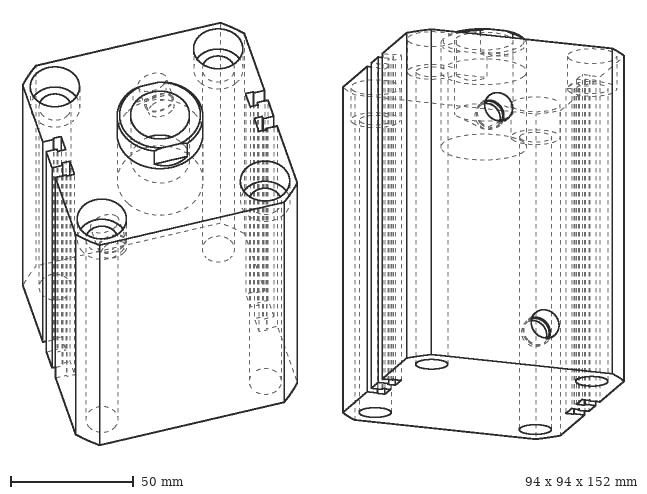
import cadquery as cq
import math

TOTAL_HEIGHT = 152.0
HOUSING_WIDTH = 94.0
ROD_PROJECTION = 13.0
HOUSING_HEIGHT = TOTAL_HEIGHT - ROD_PROJECTION
CORNER_TURNING_RADIUS = 61.1

MOUNT_SPACING = 69.2
MOUNT_HOLE_DIAMETER = 13.0
COUNTERBORE_DIAMETER = 20.0
COUNTERBORE_DEPTH = 14.0

SLOT_NECK_INNER = 4.3
SLOT_NECK_OUTER = 9.3
SLOT_HEAD_INNER = 3.0
SLOT_HEAD_OUTER = 9.9
SLOT_NECK_DEPTH = 4.5
SLOT_DEPTH = 7.9

PORT_ENTRY_DIAMETER = 12.0
PORT_ENTRY_DEPTH = 10.6
PORT_BORE_DIAMETER = 11.0
PORT_BORE_DEPTH = 13.7
PORT_OFFSET = 10.0
LOWER_PORT_HEIGHT = 18.2
UPPER_PORT_HEIGHT = HOUSING_HEIGHT - 30.1

ROD_DIAMETER = 35.0
ROD_CHAMFER = 1.0
FLATS_WIDTH = 32.0
FLATS_HEIGHT = 10.0
ROD_BORE_DIAMETER = 24.0
ROD_BORE_DEPTH = 30.4
DRILL_POINT_ANGLE = 118.0
ROD_END_THICKNESS = 7.6

DRILL_POINT_HEIGHT = ROD_BORE_DIAMETER / 2 / math.tan(math.radians(DRILL_POINT_ANGLE / 2))
ROD_LENGTH = ROD_BORE_DEPTH + DRILL_POINT_HEIGHT + ROD_END_THICKNESS
ROD_BOTTOM = TOTAL_HEIGHT - ROD_LENGTH


def make_block():
    """Square block whose corners are turned to a large radius."""
    square = cq.Workplane("XY").rect(HOUSING_WIDTH, HOUSING_WIDTH).extrude(HOUSING_HEIGHT)
    turned = cq.Workplane("XY").circle(CORNER_TURNING_RADIUS).extrude(HOUSING_HEIGHT)
    return square.intersect(turned)


def cut_mounting_holes(block):
    """Counterbored through holes in the four corners."""
    return (
        block.faces(">Z").workplane(origin=(0, 0, HOUSING_HEIGHT))
        .rect(MOUNT_SPACING, MOUNT_SPACING, forConstruction=True).vertices()
        .cboreHole(MOUNT_HOLE_DIAMETER, COUNTERBORE_DIAMETER, COUNTERBORE_DEPTH)
    )


def make_slot(side_x, side_y):
    """T-slot in the side at side_y, on the side_x side of the middle plane."""
    surface = HOUSING_WIDTH / 2
    shoulder = surface - SLOT_NECK_DEPTH
    floor = surface - SLOT_DEPTH
    outline = [
        (SLOT_NECK_INNER, surface),
        (SLOT_NECK_INNER, shoulder),
        (SLOT_HEAD_INNER, shoulder),
        (SLOT_HEAD_INNER, floor),
        (SLOT_HEAD_OUTER, floor),
        (SLOT_HEAD_OUTER, shoulder),
        (SLOT_NECK_OUTER, shoulder),
        (SLOT_NECK_OUTER, surface),
    ]
    points = [(side_x * x, side_y * y) for x, y in outline]
    return cq.Workplane("XY").polyline(points).close().extrude(HOUSING_HEIGHT)


def make_port(y, z):
    """Blind stepped port entering from the -X side."""
    side = cq.Plane(origin=(-HOUSING_WIDTH / 2, y, z), xDir=(0, 1, 0), normal=(1, 0, 0))
    entry = cq.Workplane(side).circle(PORT_ENTRY_DIAMETER / 2).extrude(PORT_ENTRY_DEPTH)
    bore = cq.Workplane(side).circle(PORT_BORE_DIAMETER / 2).extrude(PORT_BORE_DEPTH)
    return entry.union(bore)


def make_housing():
    housing = cut_mounting_holes(make_block())
    for side_x in (-1, 1):
        for side_y in (-1, 1):
            housing = housing.cut(make_slot(side_x, side_y))
    housing = housing.cut(make_port(PORT_OFFSET, UPPER_PORT_HEIGHT))
    housing = housing.cut(make_port(-PORT_OFFSET, LOWER_PORT_HEIGHT))
    rod_recess = (
        cq.Workplane("XY").workplane(offset=ROD_BOTTOM).circle(ROD_DIAMETER / 2)
        .extrude(HOUSING_HEIGHT - ROD_BOTTOM)
    )
    return housing.cut(rod_recess)


def make_flat_cutter(side):
    """Wrench flat with a 45 degree run-out at its lower end, on the +X or -X side of the rod."""
    flat = FLATS_WIDTH / 2
    outer = ROD_DIAMETER / 2
    flat_bottom = TOTAL_HEIGHT - FLATS_HEIGHT
    runout_bottom = flat_bottom - (outer - flat)
    outline = [(flat, TOTAL_HEIGHT), (flat, flat_bottom), (outer, runout_bottom), (outer, TOTAL_HEIGHT)]
    points = [(side * x, z) for x, z in outline]
    return cq.Workplane("XZ").polyline(points).close().extrude(outer, both=True)


def make_rod():
    rod = (
        cq.Workplane("XY").workplane(offset=ROD_BOTTOM).circle(ROD_DIAMETER / 2).extrude(ROD_LENGTH)
        .faces(">Z").edges().chamfer(ROD_CHAMFER)
    )
    for side in (-1, 1):
        rod = rod.cut(make_flat_cutter(side))
    bore_bottom = TOTAL_HEIGHT - ROD_BORE_DEPTH
    bore_profile = [
        (0, TOTAL_HEIGHT),
        (ROD_BORE_DIAMETER / 2, TOTAL_HEIGHT),
        (ROD_BORE_DIAMETER / 2, bore_bottom),
        (0, bore_bottom - DRILL_POINT_HEIGHT),
    ]
    bore = cq.Workplane("XZ").polyline(bore_profile).close().revolve(360, (0, 0), (0, 1))
    return rod.cut(bore)


housing = make_housing()
rod = make_rod()
result = cq.Compound.makeCompound([housing.val(), rod.val()])